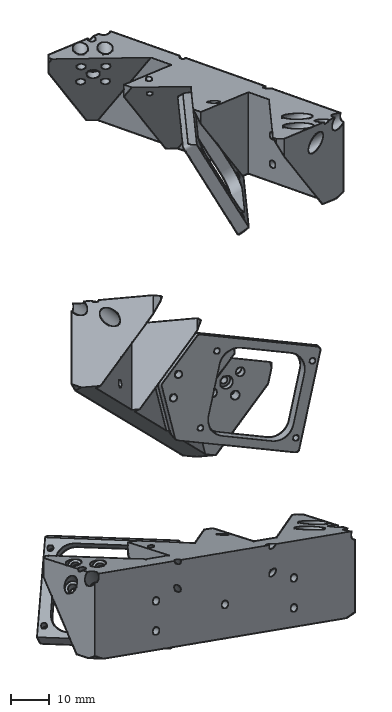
import cadquery as cq
import math

block_length = 83.0
block_height = 22.8
slab_thickness = 6.0
arm_reach = 24.1
wing_inner_x = 20.75
wing_tip_chamfer = 1.5
prong_half_width = 13.5
corner_cut_run = 2.7
corner_cut_rise = 1.2
vee_apex_y = -13.3
face_tilt = 30.0

hole_pitch = 6.4
wing_pattern_u = 14.8
wing_pattern_v = -6.6
screw_diameter = 2.4
head_bore_diameter = 4.0
upper_seat_depth = 2.4
lower_seat_depth = 4.0
centre_hole_diameter = 2.0
centre_bore_diameter = 3.5
centre_bore_depth = 2.0
tapped_diameter = 1.6
slab_hole_diameter = 2.1
slab_hole_x = 22.0
slab_hole_mid_z = -13.8
slab_hole_pitch = 8.0

frame_thickness = 3.5
frame_centre_u = 24.1
frame_centre_v = -13.3
frame_height = 28.8
frame_end_distance = 15.1
frame_shoulder_distance = 19.7
frame_corner_radius = 1.0
frame_bottom_rise = 0.75
window_size = 24.0
window_radius = 5.0
frame_hole_spacing_u = 27.0
frame_hole_spacing_v = 21.0
mount_hole_diameter = 2.0
mount_hole_u = 1.3

through = 99.6

tilt = math.radians(face_tilt)
diagonal = math.sqrt(0.5)
face_normal = (-math.cos(tilt) * diagonal, -math.cos(tilt) * diagonal, -math.sin(tilt))
face_u = (diagonal, -diagonal, 0)
wing_face = cq.Plane((wing_inner_x, -slab_thickness, 0), face_u, face_normal)
vee_face = cq.Plane((0, vee_apex_y, 0), face_u, face_normal)


def block_box(x_min, x_max, y_min, y_max):
    """Full-height box hanging below Z = 0."""
    return cq.Workplane("XY").box(
        x_max - x_min, y_max - y_min, block_height, centered=False
    ).translate((x_min, y_min, -block_height))


def space_ahead(face):
    """Everything on the outward side of a slanted face."""
    return cq.Workplane(face).rect(2 * through, 2 * through).extrude(through)


def drill(face, points, diameter, start, length):
    """Cylinders along the face normal; positive distances lead out of the face."""
    return cq.Workplane(face).workplane(offset=start).pushPoints(points).circle(diameter / 2).extrude(length)


def mirror_x(body):
    return body.mirror("YZ")


def square_pattern(centre_u, centre_v, spacing_u, spacing_v):
    return [
        (centre_u + side_u * spacing_u / 2, centre_v + side_v * spacing_v / 2)
        for side_u in (-1, 1)
        for side_v in (-1, 1)
    ]


frame_corner_holes = square_pattern(
    frame_centre_u, frame_centre_v, frame_hole_spacing_u, frame_hole_spacing_v
)
mount_holes = [(mount_hole_u, frame_centre_v + side * hole_pitch / 2) for side in (-1, 1)]


def make_right_wing():
    half_length = block_length / 2
    wing = block_box(wing_inner_x, half_length, -arm_reach, -slab_thickness)
    wing = wing.edges("|Z and >X and <Y").chamfer(wing_tip_chamfer)
    return wing.cut(space_ahead(wing_face))


def make_wing_holes():
    """Four screw holes with wide rear bores, around one stepped centre hole."""
    centre = [(wing_pattern_u, wing_pattern_v)]
    corners = square_pattern(wing_pattern_u, wing_pattern_v, hole_pitch, hole_pitch)
    holes = drill(wing_face, corners, screw_diameter, 0, -through)
    for point in corners:
        seat_depth = upper_seat_depth if point[1] > wing_pattern_v else lower_seat_depth
        holes = holes.union(drill(wing_face, [point], head_bore_diameter, -seat_depth, -through))
    holes = holes.union(drill(wing_face, centre, centre_hole_diameter, 0, -through))
    return holes.union(drill(wing_face, centre, centre_bore_diameter, 0, -centre_bore_depth))


def make_vee_holes():
    """Tapped holes that match the frame's mounting holes and its nearest upper hole."""
    upper_hole = (frame_centre_u - frame_hole_spacing_u / 2, frame_centre_v + frame_hole_spacing_v / 2)
    return drill(vee_face, mount_holes + [upper_hole], tapped_diameter, 0, -through)


def make_slab_holes():
    points = [(0, slab_hole_mid_z)] + square_pattern(0, slab_hole_mid_z, 2 * slab_hole_x, slab_hole_pitch)
    return cq.Workplane("XZ").pushPoints(points).circle(slab_hole_diameter / 2).extrude(slab_thickness)


def make_corner_cut():
    """Wedge-shaped pyramid that bevels the lower rear corner on the +X side."""
    corner = cq.Vector(block_length / 2, 0, -block_height)
    along_x = corner + cq.Vector(-corner_cut_run, 0, 0)
    along_y = corner + cq.Vector(0, -corner_cut_run, 0)
    along_z = corner + cq.Vector(0, 0, corner_cut_rise)
    triangles = [
        (corner, along_x, along_y),
        (corner, along_y, along_z),
        (corner, along_z, along_x),
        (along_x, along_y, along_z),
    ]
    faces = [cq.Face.makeFromWires(cq.Wire.makePolygon(points, close=True)) for points in triangles]
    return cq.Workplane(cq.Solid.makeSolid(cq.Shell.makeShell(faces)))


def make_block():
    half_length = block_length / 2
    vee_cut = space_ahead(vee_face)
    vee_cut = vee_cut.intersect(mirror_x(vee_cut))
    prong = block_box(-prong_half_width, prong_half_width, -arm_reach, -slab_thickness).cut(vee_cut)
    wing = make_right_wing()
    block = block_box(-half_length, half_length, -slab_thickness, 0)
    block = block.union(prong).union(wing).union(mirror_x(wing))
    for cutter in (make_wing_holes(), make_vee_holes(), make_corner_cut()):
        block = block.cut(cutter).cut(mirror_x(cutter))
    return block.cut(make_slab_holes())


def make_bottom_wedge():
    """Wedge under the frame that slopes its bottom edge up toward the vee face."""
    end_plane = cq.Plane(vee_face.origin, face_normal, (-diagonal, diagonal, 0))
    bottom_v = frame_centre_v - frame_height / 2
    profile = [(0, bottom_v), (frame_thickness, bottom_v), (0, bottom_v + frame_bottom_rise)]
    return cq.Workplane(end_plane).polyline(profile).close().extrude(through, both=True)


def make_frame():
    half_height = frame_height / 2
    shoulder_u = -frame_shoulder_distance
    tip_u = shoulder_u - half_height * math.sin(tilt)
    outline = [
        (frame_end_distance, -half_height),
        (frame_end_distance, half_height),
        (shoulder_u, half_height),
        (tip_u, 0),
        (shoulder_u, -half_height),
    ]
    centred_face = cq.Workplane(vee_face).center(frame_centre_u, frame_centre_v)
    plate = centred_face.polyline(outline).close().extrude(frame_thickness)
    corners = cq.selectors.ParallelDirSelector(cq.Vector(*face_normal))
    plate = plate.edges(corners).fillet(frame_corner_radius)
    window = centred_face.rect(window_size, window_size).extrude(frame_thickness)
    window = window.edges(corners).fillet(window_radius)
    plate = plate.cut(window)
    plate = plate.cut(drill(vee_face, frame_corner_holes, tapped_diameter, 0, frame_thickness))
    plate = plate.cut(drill(vee_face, mount_holes, mount_hole_diameter, 0, frame_thickness))
    plate = plate.cut(make_bottom_wedge())
    above_top = cq.Workplane("XY").rect(2 * through, 2 * through).extrude(through)
    return plate.cut(above_top)


block = make_block()
frame = make_frame()
result = cq.Compound.makeCompound([block.val(), frame.val()])